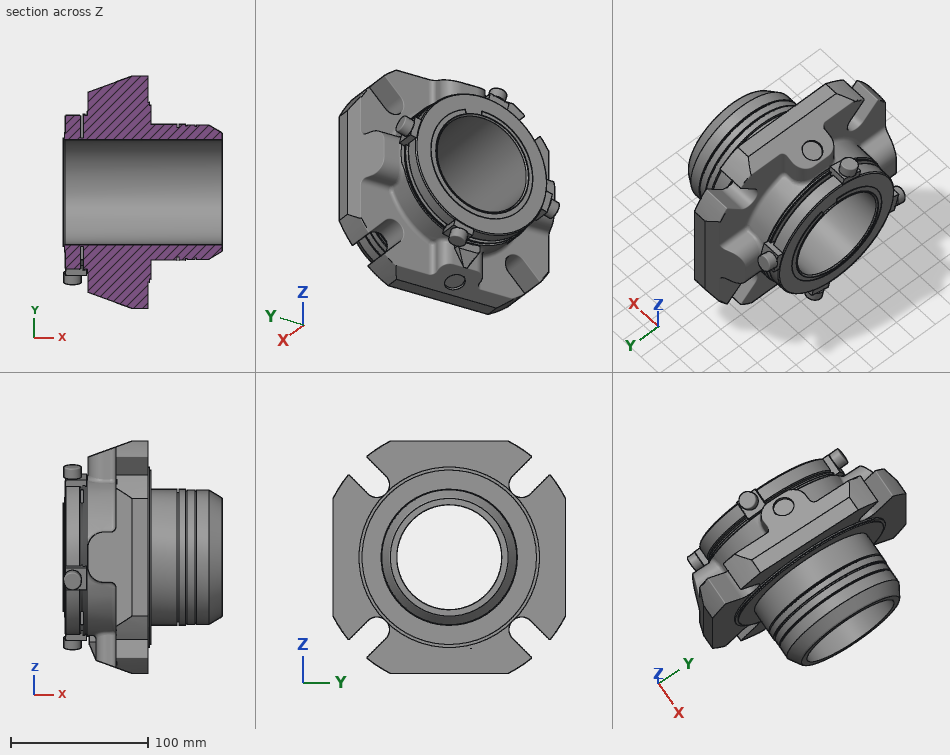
import cadquery as cq
import math

LENGTH = 115.9
SIZE = 169.5
HALF = SIZE / 2
TOLERANCE = 0.02

FLANGE_FRONT = 38.5
FLANGE_BACK = 61.8
CORNER_R = 94.9
TAPER_START = 50.1
TAPER_ANGLE = 20.0
SLOT_WIDTH = 18.3
SLOT_CENTRE_R = 74.5
EDGE_ROUND = 0.7

BARREL_R = 57.6
BARREL_FRONT = 17.5
BARREL_ROOT_ROUND = 3.0
BARREL_STOCK = 6.8
LIP_R = 57.0
LIP_FRONT = 14.5
LIP_BACK = 15.8
LIP_NECK_R = 56.2
LUG_FRONT = 18.0
LUG_HALF_WIDTH = 18.3
LUG_CORNER_R = 11.5
LUG_FLARE_R = 4.0
LUG_START_R = 42.4
BADGE_LUG_FRONT = 23.9
BADGE_LUG_CORNER_R = 8.3

BADGE_FRONT = 19.0
BADGE_TOP_R = 54.2
BADGE_SHOULDER_R = 63.4
BADGE_TIP_R = 75.0
BADGE_EDGE_R = 61.7
BADGE_HALF_WIDTH = 9.3
BADGE_TIP_HALF_WIDTH = 1.5

PLUG_DIAMETER = 15.5
TOP_PLUG_STATION = 27.8
BOTTOM_PLUG_STATION = 38.5
PLUG_DEPTH = 2.0

BORE_R = 38.1
BORE_MOUTH_R = 39.3
SLEEVE_R = 39.6
COLLAR_R = 56.2
COLLAR_FRONT = 1.4
COLLAR_BACK = 12.9
COLLAR_CHAMFER = 0.8
SNAP_RING_R = 43.5
SNAP_RING_FRONT = 0.8
SNAP_RING_GAP_ANGLE = 19.4

CLIP_COUNT = 4
CLIP_ANGLE = 15.0
CLIP_WIDTH = 16.6
CLIP_FRONT = 1.7
CLIP_BACK = 17.1
CLIP_OUTER_R = 60.7
CLIP_INNER_R = 54.9
CLIP_TAB_R = 53.0
SCREW_DIAMETER = 13.0
SCREW_STATION = 6.8
SCREW_TOP_R = 68.3
SCREW_ROUND = 0.8

GASKET_R = 65.7
GASKET_FLAT = SLOT_CENTRE_R - SLOT_WIDTH / 2
GASKET_STEP = 63.0
GASKET_BACK = 64.0
GASKET_BACK_R = 63.5

PILOT_R = 49.6
PILOT_TAIL_R = 49.1
PACKING_GROOVE = (83.0, 84.2, 47.3)
STEP_GROOVE = (89.1, 90.3, 48.5)
TAIL_GROOVE = (96.0, 97.0, 48.1)
PILOT_TAPER_START = 106.0
PILOT_END_R = 43.7
PILOT_EDGE_CHAMFER = 0.8


def turn(points):
    """Revolve a closed (X, radius) outline about the X axis."""
    return cq.Workplane("XY").polyline(points).close().revolve(360, (0, 0, 0), (1, 0, 0))


def ring(front, back, outer, inner=BORE_R):
    """Plain ring between two stations."""
    return turn([(front, inner), (back, inner), (back, outer), (front, outer)])


def about_axis(body, angle):
    """Turn a body that points to +Z towards -Y by the angle in degrees."""
    return body.rotate((0, 0, 0), (1, 0, 0), angle)


def lug(front, corner_r):
    """U-shaped lug pointing to +Z, flared where it meets the flange."""
    half, flare = LUG_HALF_WIDTH, LUG_FLARE_R
    outline = (
        cq.Workplane("XY", origin=(0, 0, LUG_START_R))
        .moveTo(FLANGE_FRONT + 1.7, half + flare)
        .lineTo(FLANGE_FRONT, half + flare)
        .radiusArc((FLANGE_FRONT - flare, half), flare)
        .lineTo(front + corner_r, half)
        .radiusArc((front, half - corner_r), -corner_r)
        .lineTo(front, corner_r - half)
        .radiusArc((front + corner_r, -half), -corner_r)
        .lineTo(FLANGE_FRONT - flare, -half)
        .radiusArc((FLANGE_FRONT, -half - flare), flare)
        .lineTo(FLANGE_FRONT + 1.7, -half - flare)
        .close()
    )
    return outline.extrude(HALF - LUG_START_R)


def envelope():
    """Square block whose four sides lean inwards towards the front."""
    front_half = HALF - TAPER_START * math.tan(math.radians(TAPER_ANGLE))
    side = [
        (0, -front_half), (TAPER_START, -HALF), (FLANGE_BACK, -HALF),
        (FLANGE_BACK, HALF), (TAPER_START, HALF), (0, front_half),
    ]
    along_z = cq.Workplane("XY").polyline(side).close().extrude(HALF, both=True)
    along_y = cq.Workplane("XZ").polyline(side).close().extrude(HALF, both=True)
    return along_z.intersect(along_y)


def bolt_slot():
    """Open-ended slot pointing to +Z through the flange."""
    length = FLANGE_BACK - FLANGE_FRONT
    plane = cq.Workplane("YZ", origin=(FLANGE_FRONT, 0, 0))
    round_end = plane.center(0, SLOT_CENTRE_R).circle(SLOT_WIDTH / 2).extrude(length)
    reach = CORNER_R - SLOT_CENTRE_R + 1.7
    opening = plane.center(0, SLOT_CENTRE_R + reach / 2).rect(SLOT_WIDTH, reach).extrude(length)
    return round_end.union(opening)


def on_barrel(edge):
    """True for an edge on the barrel surface, where a lug or the flange front meets it."""
    points = [edge.positionAt(t) for t in (0, 0.3, 0.7, 1)]
    radii_match = all(abs(math.hypot(p.y, p.z) - BARREL_R) < TOLERANCE for p in points)
    behind_front = min(p.x for p in points) > BARREL_FRONT
    ahead_of_back = max(p.x for p in points) < FLANGE_BACK
    return radii_match and behind_front and ahead_of_back


def is_slot_tip(edge):
    """True for an edge along X where a slot opens through the flange corner."""
    middle = edge.positionAt(0.5)
    at_corner_radius = abs(math.hypot(middle.y, middle.z) - CORNER_R) < TOLERANCE
    return at_corner_radius and max(abs(middle.y), abs(middle.z)) < HALF - TOLERANCE


def on_front_rim(edge):
    """True for a convex edge between the flange or lug front and its sides."""
    points = [edge.positionAt(t) for t in (0, 0.5, 1)]
    slope = math.tan(math.radians(TAPER_ANGLE))
    if max(p.x for p in points) > FLANGE_FRONT + TOLERANCE:
        return False
    on_taper = all(
        abs(max(abs(p.y), abs(p.z)) - HALF + (TAPER_START - p.x) * slope) < TOLERANCE for p in points
    )
    on_flange = all(abs(p.x - FLANGE_FRONT) < TOLERANCE for p in points)
    flare_edge = LUG_HALF_WIDTH + LUG_FLARE_R + TOLERANCE
    return on_taper or (on_flange and min(abs(points[1].y), abs(points[1].z)) > flare_edge)


def badge():
    """Triangular wedge, flat near the barrel and sloping to the lug tip."""
    side = [
        (BADGE_FRONT, -BADGE_TOP_R), (BADGE_FRONT, -BADGE_SHOULDER_R), (BADGE_LUG_FRONT, -BADGE_TIP_R),
        (BADGE_LUG_FRONT + 1.7, -BADGE_TIP_R), (BADGE_LUG_FRONT + 1.7, -BADGE_TOP_R),
    ]
    wedge = cq.Workplane("XZ").polyline(side).close().extrude(BADGE_HALF_WIDTH, both=True)
    face = [
        (-BADGE_HALF_WIDTH, -BADGE_TOP_R), (-BADGE_HALF_WIDTH, -BADGE_EDGE_R),
        (-BADGE_TIP_HALF_WIDTH, -BADGE_TIP_R), (BADGE_TIP_HALF_WIDTH, -BADGE_TIP_R),
        (BADGE_HALF_WIDTH, -BADGE_EDGE_R), (BADGE_HALF_WIDTH, -BADGE_TOP_R),
    ]
    return wedge.intersect(cq.Workplane("YZ").polyline(face).close().extrude(FLANGE_FRONT))


def plug_recess(station):
    """Round recess square to the sloping end of the +Z lug."""
    slope = math.radians(TAPER_ANGLE)
    height = HALF - (TAPER_START - station) * math.tan(slope)
    outward = cq.Vector(-math.sin(slope), 0, math.cos(slope))
    floor = cq.Vector(station, 0, height) - outward * PLUG_DEPTH
    return cq.Workplane(obj=cq.Solid.makeCylinder(PLUG_DIAMETER / 2, 2 * PLUG_DEPTH, floor, outward))


def housing():
    """Flange, barrel, lugs and badge, solid through the middle."""
    body = (
        cq.Workplane("YZ", origin=(FLANGE_FRONT, 0, 0))
        .rect(SIZE, SIZE)
        .extrude(FLANGE_BACK - FLANGE_FRONT)
        .intersect(ring(FLANGE_FRONT, FLANGE_BACK, CORNER_R, 0))
    )
    for quarter in range(3):
        body = body.union(about_axis(lug(LUG_FRONT, LUG_CORNER_R), 90 * (quarter - 1)))
    body = body.union(about_axis(lug(BADGE_LUG_FRONT, BADGE_LUG_CORNER_R), 180))
    body = body.intersect(envelope())
    for quarter in range(4):
        body = body.cut(about_axis(bolt_slot(), 45 + 90 * quarter))
    tips = [e for e in body.edges("|X").vals() if is_slot_tip(e)]
    body = body.newObject(tips).fillet(EDGE_ROUND)
    rim = [e for e in body.edges().vals() if on_front_rim(e)]
    body = body.newObject(rim).fillet(EDGE_ROUND)
    body = body.union(ring(BARREL_FRONT - BARREL_STOCK, FLANGE_BACK, BARREL_R, 0))

    roots = [e for e in body.edges().vals() if on_barrel(e)]
    body = body.newObject(roots).fillet(BARREL_ROOT_ROUND)

    body = body.cut(ring(BARREL_FRONT - BARREL_STOCK, BARREL_FRONT, HALF, 0))
    body = body.cut(plug_recess(TOP_PLUG_STATION))
    body = body.cut(about_axis(plug_recess(BOTTOM_PLUG_STATION), 180))
    return body.union(badge())


def collar():
    """Drive collar with both outer edges bevelled."""
    outer_edges = ring(COLLAR_FRONT, COLLAR_BACK, COLLAR_R).edges(cq.selectors.RadiusNthSelector(-1))
    return outer_edges.chamfer(COLLAR_CHAMFER)


def snap_ring():
    """Flat ring on the collar face, open from +Z towards +Y."""
    plane = cq.Workplane("YZ", origin=(SNAP_RING_FRONT, 0, 0))
    gap = math.radians(SNAP_RING_GAP_ANGLE)
    gap_wedge = (
        plane.polyline([(0, 0), (0, HALF), (HALF * math.tan(gap), HALF)]).close()
        .extrude(COLLAR_FRONT - SNAP_RING_FRONT)
    )
    return ring(SNAP_RING_FRONT, COLLAR_FRONT, SNAP_RING_R, BORE_MOUTH_R).cut(gap_wedge)


def sleeve():
    """Full-length tube, its front mouth bevelled at the bore."""
    mouth_depth = BORE_MOUTH_R - BORE_R
    return turn([
        (mouth_depth, BORE_R), (LENGTH, BORE_R), (LENGTH, SLEEVE_R), (0, SLEEVE_R), (0, BORE_MOUTH_R),
    ])


def pilot():
    """Grooved barrel behind the flange with a tapered end."""
    packing_front, packing_back, packing_r = PACKING_GROOVE
    step_front, step_back, step_r = STEP_GROOVE
    tail_front, tail_back, tail_r = TAIL_GROOVE
    end_bevel = LENGTH - PILOT_EDGE_CHAMFER
    return turn([
        (LIP_FRONT, BORE_R), (LENGTH, BORE_R), (LENGTH, PILOT_END_R - PILOT_EDGE_CHAMFER),
        (end_bevel, PILOT_END_R), (PILOT_TAPER_START, PILOT_TAIL_R),
        (tail_back, PILOT_TAIL_R), (tail_back, tail_r), (tail_front, tail_r), (tail_front, PILOT_TAIL_R),
        (step_back, PILOT_TAIL_R), (step_back, step_r), (step_front, step_r), (step_front, PILOT_R),
        (packing_back, PILOT_R), (packing_back, packing_r),
        (packing_front, packing_r), (packing_front, PILOT_R),
        (LIP_FRONT, PILOT_R),
    ])


def gasket():
    """Stepped ring behind the flange."""
    flats = (
        cq.Workplane("YZ", origin=(FLANGE_BACK, 0, 0))
        .rect(2 * GASKET_FLAT, 2 * GASKET_FLAT)
        .extrude(GASKET_STEP - FLANGE_BACK)
    )
    front = ring(FLANGE_BACK, GASKET_STEP, GASKET_R).intersect(about_axis(flats, 45))
    return front.union(ring(GASKET_STEP, GASKET_BACK, GASKET_BACK_R))


def clip():
    """Clip pointing to +Z: a block over the collar, a tab into the gap, a screw."""
    middle = (CLIP_FRONT + CLIP_BACK) / 2
    block = (
        cq.Workplane("XY", origin=(middle, 0, CLIP_INNER_R))
        .rect(CLIP_BACK - CLIP_FRONT, CLIP_WIDTH)
        .extrude(CLIP_OUTER_R - CLIP_INNER_R)
    )
    tab = (
        cq.Workplane("XY", origin=((COLLAR_BACK + LIP_FRONT) / 2, 0, CLIP_TAB_R))
        .rect(LIP_FRONT - COLLAR_BACK, CLIP_WIDTH)
        .extrude(CLIP_INNER_R - CLIP_TAB_R)
    )
    screw = (
        cq.Workplane("XY", origin=(SCREW_STATION, 0, CLIP_OUTER_R))
        .circle(SCREW_DIAMETER / 2)
        .extrude(SCREW_TOP_R - CLIP_OUTER_R)
        .faces(">Z").edges().fillet(SCREW_ROUND)
    )
    return block.union(tab).union(screw)


result = housing()
result = result.cut(ring(BARREL_FRONT, FLANGE_BACK, BORE_R, 0))
lip = ring(LIP_FRONT, LIP_BACK, LIP_R)
neck = ring(LIP_BACK, BARREL_FRONT, LIP_NECK_R)
for feature in (lip, neck, pilot(), gasket(), collar(), snap_ring(), sleeve()):
    result = result.union(feature)
for index in range(CLIP_COUNT):
    result = result.union(about_axis(clip(), CLIP_ANGLE + index * 360 / CLIP_COUNT))